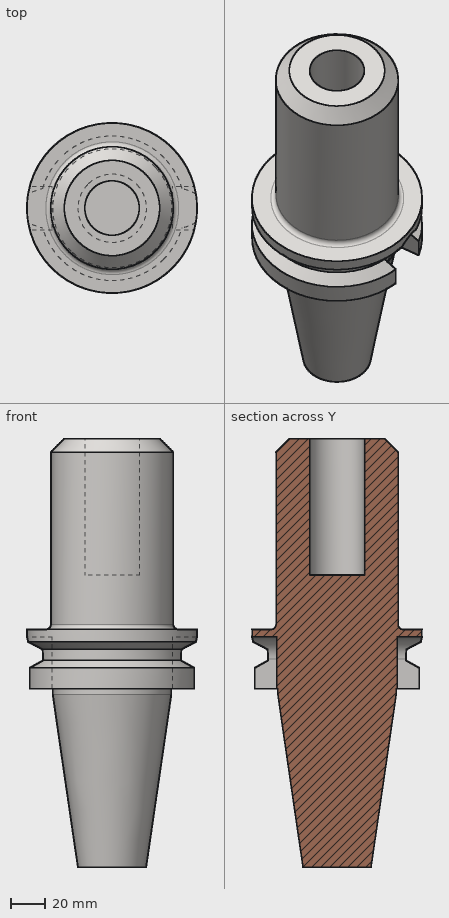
import cadquery as cq
import math


gauge_diameter = 69.85
taper_length = 101.8
taper_ratio = 7 / 24
small_end_diameter = gauge_diameter - taper_length * taper_ratio

flange_diameter = 100.0
flange_bottom = 3.0
flange_top = 38.0
groove_floor_diameter = 85.0
groove_floor_width = 6.5
groove_middle = 23.0
groove_flank_angle = 30.0
groove_depth = (flange_diameter - groove_floor_diameter) / 2
groove_flank_height = groove_depth * math.tan(math.radians(groove_flank_angle))

slot_width = 25.7
slot_floor_offset = 35.4
slot_top = 33.6

body_diameter = 72.0
body_top = 150.0
body_chamfer = 8.0
body_root_fillet = 3.0
bore_diameter = 32.0
bore_depth = 80.0


def make_turned_body():
    """Revolve the half section of shank, flange and body about Z."""
    gauge_radius = gauge_diameter / 2
    flange_radius = flange_diameter / 2
    groove_radius = groove_floor_diameter / 2
    body_radius = body_diameter / 2
    floor_bottom = groove_middle - groove_floor_width / 2
    floor_top = groove_middle + groove_floor_width / 2
    fillet_center = (body_radius + body_root_fillet, flange_top + body_root_fillet)
    fillet_middle_offset = body_root_fillet * math.sqrt(0.5)
    fillet_middle = (fillet_center[0] - fillet_middle_offset, fillet_center[1] - fillet_middle_offset)
    return (
        cq.Workplane("XZ")
        .moveTo(0, -taper_length)
        .lineTo(small_end_diameter / 2, -taper_length)
        .lineTo(gauge_radius, 0)
        .lineTo(gauge_radius, flange_bottom)
        .lineTo(flange_radius, flange_bottom)
        .lineTo(flange_radius, floor_bottom - groove_flank_height)
        .lineTo(groove_radius, floor_bottom)
        .lineTo(groove_radius, floor_top)
        .lineTo(flange_radius, floor_top + groove_flank_height)
        .lineTo(flange_radius, flange_top)
        .lineTo(fillet_center[0], flange_top)
        .threePointArc(fillet_middle, (body_radius, fillet_center[1]))
        .lineTo(body_radius, body_top - body_chamfer)
        .lineTo(body_radius - body_chamfer, body_top)
        .lineTo(0, body_top)
        .close()
        .revolve(360, (0, 0, 0), (0, 1, 0))
    )


def make_drive_slot(side):
    """Round-topped slot cutter, open at the flange bottom; side is -1 or +1 along X."""
    half_width = slot_width / 2
    arc_start = slot_top - half_width
    outward_length = flange_diameter / 2 - slot_floor_offset
    return (
        cq.Workplane("YZ")
        .workplane(offset=side * slot_floor_offset)
        .moveTo(-half_width, flange_bottom)
        .lineTo(half_width, flange_bottom)
        .lineTo(half_width, arc_start)
        .threePointArc((0, slot_top), (-half_width, arc_start))
        .close()
        .extrude(side * outward_length)
    )


def make_bore():
    """Blind tool bore from the top face."""
    return cq.Workplane("XY").workplane(offset=body_top).circle(bore_diameter / 2).extrude(-bore_depth)


result = make_turned_body().cut(make_bore())
for side in (-1, 1):
    result = result.cut(make_drive_slot(side))